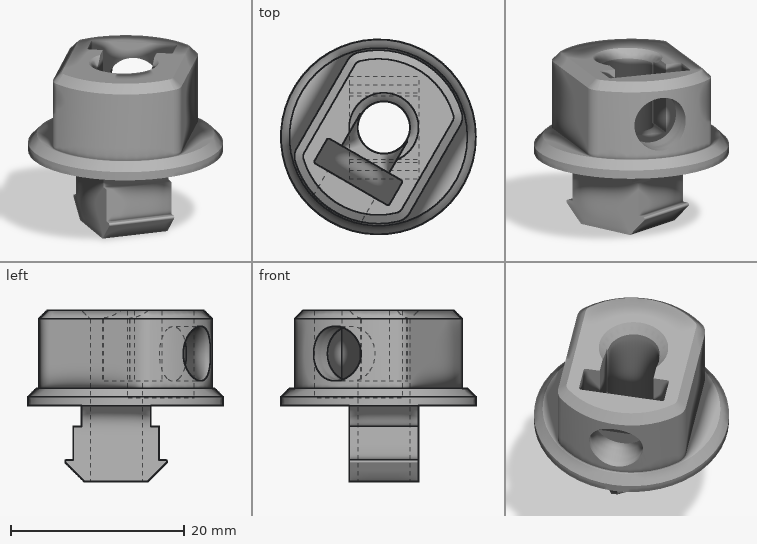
import cadquery as cq
import math

flange_radius = 11.25
flange_height = 2.0
flange_chamfer = 1.0

head_angle = 60.0
head_radius = 10.0
head_width = 15.0
head_height = 9.0
head_corner_radius = 2.0
head_chamfer = 1.0
head_top = flange_height + head_height

bore_offset = 1.25
bore_radius = 3.0
countersink_depth = 1.0

screw_hole_radius = 3.15
screw_hole_height = flange_height + 4.0

pocket_near = 3.0
pocket_thickness = 3.3
pocket_width = 10.0
pocket_corner_radius = 0.25
pocket_floor = 0.9
channel_width = 2 * screw_hole_radius
channel_floor = screw_hole_height - screw_hole_radius

leg_depth = 8.0
leg_height = 8.75
neck_width = 8.0
neck_height = 2.4
shank_width = 9.9
barb_height = 2.5
barb_bottom_width = 7.33
barb_tip_radius = 0.2
barb_width = barb_bottom_width + 2 * barb_height


def turn_to_head(body):
    """Turn a body built with its flats along X into the head direction."""
    return body.rotate((0, 0, 0), (0, 0, 1), head_angle)


def make_flange():
    disc = cq.Workplane("XY").circle(flange_radius).extrude(flange_height)
    return disc.faces(">Z").chamfer(flange_chamfer)


def make_head():
    base = cq.Workplane("XY").workplane(offset=flange_height)
    disc = base.circle(head_radius).extrude(head_height)
    band = base.rect(2 * head_radius, head_width).extrude(head_height)
    head = disc.intersect(band)
    head = head.edges("|Z").fillet(head_corner_radius)
    return turn_to_head(head.faces(">Z").chamfer(head_chamfer))


def make_leg():
    barb_top = barb_height - leg_height
    right_side = [
        (barb_bottom_width / 2, -leg_height),
        (barb_width / 2, barb_top),
        (shank_width / 2, barb_top),
        (shank_width / 2, -neck_height),
        (neck_width / 2, -neck_height),
        (neck_width / 2, 0),
    ]
    left_side = [(-y, z) for y, z in reversed(right_side)]
    leg = cq.Workplane("YZ").polyline(right_side + left_side).close()
    leg = leg.extrude(leg_depth / 2, both=True)
    for tip in ("<Y", ">Y"):
        leg = leg.edges(tip).fillet(barb_tip_radius)
    bore_x = bore_offset * math.cos(math.radians(head_angle))
    bore_y = bore_offset * math.sin(math.radians(head_angle))
    return leg.translate((bore_x, bore_y, 0))


def make_bore():
    bore = cq.Workplane("XY").workplane(offset=-leg_height).circle(bore_radius)
    bore = bore.extrude(leg_height + head_top)
    countersink = cq.Workplane(cq.Solid.makeCone(
        bore_radius, bore_radius + countersink_depth, countersink_depth,
        pnt=(0, 0, head_top - countersink_depth),
    ))
    return turn_to_head(bore.union(countersink).translate((bore_offset, 0, 0)))


def make_nut_pocket():
    pocket = cq.Workplane("XY").workplane(offset=pocket_floor)
    pocket = pocket.center(-pocket_near - pocket_thickness / 2, 0)
    pocket = pocket.rect(pocket_thickness, pocket_width).extrude(head_top - pocket_floor)
    return turn_to_head(pocket.edges("|Z").fillet(pocket_corner_radius))


def make_channel():
    """Channel from the nut pocket to the centre of the bore."""
    start = -pocket_near - pocket_thickness / 2
    length = bore_offset - start
    channel = cq.Workplane("XY").workplane(offset=channel_floor)
    channel = channel.center(start + length / 2, 0)
    return turn_to_head(channel.rect(length, channel_width).extrude(head_top - channel_floor))


def make_screw_hole():
    length = head_radius - pocket_near
    hole = cq.Workplane("YZ", origin=(-head_radius, 0, screw_hole_height))
    return turn_to_head(hole.circle(screw_hole_radius).extrude(length))


result = make_flange().union(make_head()).union(make_leg())
for opening in (make_bore(), make_nut_pocket(), make_channel(), make_screw_hole()):
    result = result.cut(opening)